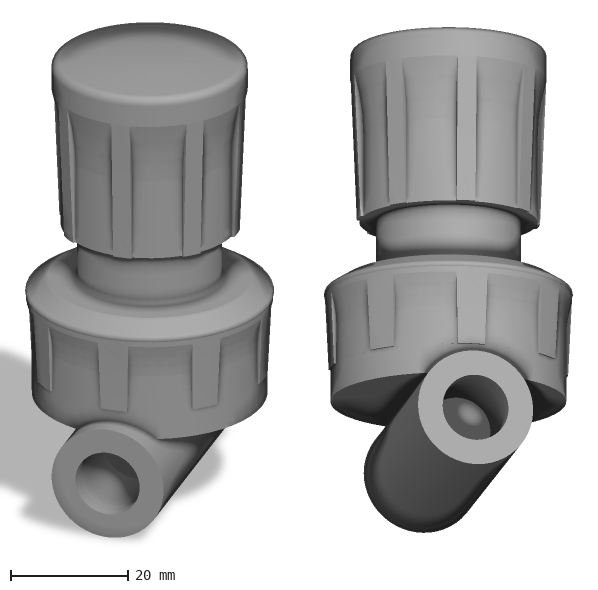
import cadquery as cq
import math

PIPE_DIAMETER = 20.0
BORE_DIAMETER = 11.4
PIPE_LENGTH = 48.0
BORE_DEPTH = 16.0
PIPE_AXIS_Z = PIPE_DIAMETER / 2
SEAT_RADIUS = 40.2 / 2
SEAT_BOTTOM_Z = 17.0
SEAT_TOP_Z = 22.15

NUT_RIB_FOOT_RADIUS = 20.5
NUT_RIB_TOP_RADIUS = 21.1
NUT_RIB_FOOT_WIDTH = 4.7
NUT_RIB_TOP_WIDTH = 5.35
NUT_FLARE_Z = 28.8
NUT_POCKET_TOP_Z = 34.55
RIM_BOTTOM_Z = 35.5
NUT_RIB_SLOPE = (NUT_RIB_TOP_RADIUS - NUT_RIB_FOOT_RADIUS) / (RIM_BOTTOM_Z - SEAT_TOP_Z)
NUT_POCKET_TOP_RADIUS = NUT_RIB_FOOT_RADIUS + NUT_RIB_SLOPE * (NUT_POCKET_TOP_Z - SEAT_TOP_Z)
RIM_TOP_Z = 36.55
RIM_RADIUS = 42.4 / 2
RIM_BEVEL_FOOT_RADIUS = 20.8
BEVEL_TOP_RADIUS = 17.9
BEVEL_TOP_Z = 38.3
SHOULDER_RADIUS = 17.5
SHOULDER_EDGE_Z = 38.5
SHOULDER_Z = 38.7

NECK_RADIUS = 24.7 / 2
NECK_FILLET = 0.95

KNOB_RADIUS = 33.5 / 2
KNOB_BOTTOM_Z = 48.55
KNOB_FLOOR_RADIUS = 15.2
KNOB_RIB_FOOT_RADIUS = 15.7
KNOB_RIB_WIDTH = 3.3
KNOB_FLARE_Z = 62.95
KNOB_POCKET_TOP_Z = 73.7
CAP_EDGE_Z = 77.5
DOME_RADIUS = 15.4
DOME_EDGE_Z = 78.95
TOP_Z = 80.0

RIB_COUNT = 8


def revolve_profile(profile):
    """Revolve an XZ half profile about the Z axis."""
    return profile.close().revolve(360, (0, 0, 0), (0, 1, 0))


def flared_core(floor_radius, top_radius, bottom_z, flare_z, top_z):
    """Cylinder whose wall curves outward, tangent to the cylinder, above flare_z."""
    flare_out = top_radius - floor_radius
    flare_height = top_z - flare_z
    arc_radius = (flare_out**2 + flare_height**2) / (2 * flare_out)
    half_angle = math.asin(flare_height / arc_radius) / 2
    arc_middle = (
        floor_radius + arc_radius * (1 - math.cos(half_angle)),
        flare_z + arc_radius * math.sin(half_angle),
    )
    return revolve_profile(
        cq.Workplane("XZ")
        .moveTo(0, bottom_z)
        .lineTo(floor_radius, bottom_z)
        .lineTo(floor_radius, flare_z)
        .threePointArc(arc_middle, (top_radius, top_z))
        .lineTo(0, top_z)
    )


def ribs(foot_radius, top_radius, foot_width, top_width, bottom_z, top_z):
    """Radial ribs whose outer faces lie on a common cone."""
    cone = revolve_profile(
        cq.Workplane("XZ")
        .moveTo(0, bottom_z)
        .lineTo(foot_radius, bottom_z)
        .lineTo(top_radius, top_z)
        .lineTo(0, top_z)
    )
    bar = (
        cq.Workplane("XZ")
        .polyline([
            (-foot_width / 2, bottom_z),
            (foot_width / 2, bottom_z),
            (top_width / 2, top_z),
            (-top_width / 2, top_z),
        ])
        .close()
        .extrude(2 * top_radius)
    )
    bars = bar
    for index in range(1, RIB_COUNT):
        bars = bars.union(bar.rotate((0, 0, 0), (0, 0, 1), index * 360 / RIB_COUNT))
    return cone.intersect(bars)


def make_valve_body():
    """Pipe along Y, bored from both ends up to a middle wall, with the round seat on top."""
    pipe = (
        cq.Workplane("XZ", origin=(0, PIPE_LENGTH / 2, PIPE_AXIS_Z))
        .circle(PIPE_DIAMETER / 2)
        .extrude(PIPE_LENGTH)
    )
    inlet = (
        cq.Workplane("XZ", origin=(0, -PIPE_LENGTH / 2, PIPE_AXIS_Z))
        .circle(BORE_DIAMETER / 2)
        .extrude(-BORE_DEPTH)
    )
    outlet = inlet.mirror("XZ")
    seat = (
        cq.Workplane("XY", origin=(0, 0, SEAT_BOTTOM_Z))
        .circle(SEAT_RADIUS)
        .extrude(SEAT_TOP_Z - SEAT_BOTTOM_Z)
    )
    return pipe.union(seat).cut(inlet).cut(outlet)


def make_nut():
    """Ribbed skirt, bevelled rim and the filleted neck above it."""
    skirt = flared_core(SEAT_RADIUS, NUT_POCKET_TOP_RADIUS, SEAT_TOP_Z, NUT_FLARE_Z, NUT_POCKET_TOP_Z)
    skirt_ribs = ribs(
        NUT_RIB_FOOT_RADIUS, NUT_POCKET_TOP_RADIUS, NUT_RIB_FOOT_WIDTH, NUT_RIB_TOP_WIDTH,
        SEAT_TOP_Z, NUT_POCKET_TOP_Z,
    )
    fillet_shift = NECK_FILLET * (1 - math.sqrt(0.5))
    rim_and_neck = revolve_profile(
        cq.Workplane("XZ")
        .moveTo(0, NUT_POCKET_TOP_Z)
        .lineTo(NUT_POCKET_TOP_RADIUS, NUT_POCKET_TOP_Z)
        .lineTo(NUT_RIB_TOP_RADIUS, RIM_BOTTOM_Z)
        .threePointArc(
            (RIM_RADIUS, (RIM_BOTTOM_Z + RIM_TOP_Z) / 2),
            (RIM_BEVEL_FOOT_RADIUS, RIM_TOP_Z),
        )
        .lineTo(BEVEL_TOP_RADIUS, BEVEL_TOP_Z)
        .lineTo(SHOULDER_RADIUS, SHOULDER_EDGE_Z)
        .lineTo(NECK_RADIUS + NECK_FILLET, SHOULDER_Z)
        .threePointArc(
            (NECK_RADIUS + fillet_shift, SHOULDER_Z + fillet_shift),
            (NECK_RADIUS, SHOULDER_Z + NECK_FILLET),
        )
        .lineTo(NECK_RADIUS, KNOB_BOTTOM_Z)
        .lineTo(0, KNOB_BOTTOM_Z)
    )
    return skirt.union(skirt_ribs).union(rim_and_neck)


def make_knob():
    """Ribbed grip with a rounded, domed cap."""
    grip = flared_core(KNOB_FLOOR_RADIUS, KNOB_RADIUS, KNOB_BOTTOM_Z, KNOB_FLARE_Z, KNOB_POCKET_TOP_Z)
    grip_ribs = ribs(
        KNOB_RIB_FOOT_RADIUS, KNOB_RADIUS, KNOB_RIB_WIDTH, KNOB_RIB_WIDTH,
        KNOB_BOTTOM_Z, KNOB_POCKET_TOP_Z,
    )
    dome_height = TOP_Z - DOME_EDGE_Z
    sphere_radius = (DOME_RADIUS**2 + dome_height**2) / (2 * dome_height)
    dome_middle_x = DOME_RADIUS / 2
    dome_middle_z = TOP_Z - sphere_radius + math.sqrt(sphere_radius**2 - dome_middle_x**2)
    cap = revolve_profile(
        cq.Workplane("XZ")
        .moveTo(0, KNOB_POCKET_TOP_Z)
        .lineTo(KNOB_RADIUS, KNOB_POCKET_TOP_Z)
        .lineTo(KNOB_RADIUS, CAP_EDGE_Z)
        .tangentArcPoint((DOME_RADIUS, DOME_EDGE_Z), relative=False)
        .threePointArc((dome_middle_x, dome_middle_z), (0, TOP_Z))
    )
    return grip.union(grip_ribs).union(cap)


def make_bonnet():
    """Nut, neck and knob in one piece, standing on the seat."""
    return make_nut().union(make_knob())


valve_body = make_valve_body()
bonnet = make_bonnet()
result = cq.Compound.makeCompound([valve_body.val(), bonnet.val()])